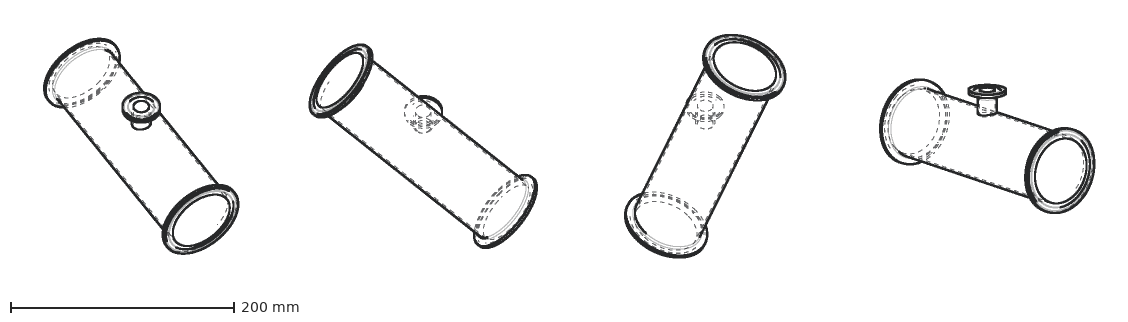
import cadquery as cq
import math

TUBE_LENGTH = 210.0
TUBE_OUTER_DIAMETER = 63.5
TUBE_BORE_DIAMETER = 59.5
MAIN_FLANGE_DIAMETER = 77.5
MAIN_GROOVE_DIAMETER = 70.5
MAIN_GROOVE_RADIUS = 1.3

BRANCH_TOP_HEIGHT = 52.5
BRANCH_OUTER_DIAMETER = 17.3
BRANCH_BORE_DIAMETER = 14.0
BRANCH_FLANGE_DIAMETER = 34.0
BRANCH_GROOVE_DIAMETER = 27.5
BRANCH_GROOVE_RADIUS = 1.6

RIM_THICKNESS = 2.85
BACK_ANGLE = math.radians(20.0)
NECK_FILLET_RADIUS = 2.0
GROOVE_DEPTH = 1.5
GROOVE_EDGE_RADIUS = 0.8


def flange_blank(pipe_diameter, flange_diameter, face_height):
    """Solid clamp flange about Z, from the start of its neck fillet up to z = face_height."""
    pipe_radius = pipe_diameter / 2
    flange_radius = flange_diameter / 2
    rim_back = face_height - RIM_THICKNESS
    cone_end = rim_back - (flange_radius - pipe_radius) * math.tan(BACK_ANGLE)

    middle_angle = (math.pi / 2 - BACK_ANGLE) / 2
    tangent_length = NECK_FILLET_RADIUS * math.tan(middle_angle)
    fillet_centre_radius = pipe_radius + NECK_FILLET_RADIUS
    fillet_start = cone_end - tangent_length
    fillet_end = (
        pipe_radius + tangent_length * math.cos(BACK_ANGLE),
        cone_end + tangent_length * math.sin(BACK_ANGLE),
    )
    fillet_middle = (
        fillet_centre_radius - NECK_FILLET_RADIUS * math.cos(middle_angle),
        fillet_start + NECK_FILLET_RADIUS * math.sin(middle_angle),
    )

    return (
        cq.Workplane("XZ")
        .moveTo(0, fillet_start)
        .lineTo(pipe_radius, fillet_start)
        .threePointArc(fillet_middle, fillet_end)
        .lineTo(flange_radius, rim_back)
        .lineTo(flange_radius, face_height)
        .lineTo(0, face_height)
        .close()
        .revolve(360, (0, 0, 0), (0, 1, 0))
    )


def gasket_groove(groove_diameter, groove_radius, face_height):
    """Ring cutter for a round-bottomed groove with rounded edges in the face z = face_height."""
    centre = groove_diameter / 2
    bottom = face_height - GROOVE_DEPTH
    bottom_arc_centre = bottom + groove_radius
    edge_arc_centre = face_height - GROOVE_EDGE_RADIUS

    centre_distance = groove_radius + GROOVE_EDGE_RADIUS
    centre_rise = edge_arc_centre - bottom_arc_centre
    half_width = math.sqrt(centre_distance**2 - centre_rise**2)
    touch_ratio = groove_radius / centre_distance
    touch_offset = half_width * touch_ratio
    touch_height = bottom_arc_centre + centre_rise * touch_ratio

    touch_angle = math.atan2(centre_rise, half_width)
    middle_angle = (math.pi / 2 + math.pi + touch_angle) / 2
    middle_offset = half_width + GROOVE_EDGE_RADIUS * math.cos(middle_angle)
    middle_height = edge_arc_centre + GROOVE_EDGE_RADIUS * math.sin(middle_angle)

    return (
        cq.Workplane("XZ")
        .moveTo(centre - half_width, face_height)
        .threePointArc((centre - middle_offset, middle_height), (centre - touch_offset, touch_height))
        .threePointArc((centre, bottom), (centre + touch_offset, touch_height))
        .threePointArc((centre + middle_offset, middle_height), (centre + half_width, face_height))
        .close()
        .revolve(360, (0, 0, 0), (0, 1, 0))
    )


def clamp_flange(pipe_diameter, flange_diameter, groove_diameter, groove_radius, face_height):
    """Clamp flange about Z, with its face and gasket groove at z = face_height."""
    blank = flange_blank(pipe_diameter, flange_diameter, face_height)
    return blank.cut(gasket_groove(groove_diameter, groove_radius, face_height))


def main_tube():
    """Main tube along X, flanged at both ends, without its bore."""
    flange_face = TUBE_LENGTH / 2
    flange = clamp_flange(
        TUBE_OUTER_DIAMETER, MAIN_FLANGE_DIAMETER, MAIN_GROOVE_DIAMETER, MAIN_GROOVE_RADIUS, flange_face
    )
    plain_half_length = flange_face - RIM_THICKNESS
    body = cq.Workplane("YZ").circle(TUBE_OUTER_DIAMETER / 2).extrude(plain_half_length, both=True)
    for angle in (-90, 90):
        body = body.union(flange.rotate((0, 0, 0), (0, 1, 0), angle))
    return body


def branch():
    """Branch along Z from the tube axis, flanged at its top, without its bore."""
    flange = clamp_flange(
        BRANCH_OUTER_DIAMETER,
        BRANCH_FLANGE_DIAMETER,
        BRANCH_GROOVE_DIAMETER,
        BRANCH_GROOVE_RADIUS,
        BRANCH_TOP_HEIGHT,
    )
    plain_length = BRANCH_TOP_HEIGHT - RIM_THICKNESS
    pipe = cq.Workplane("XY").circle(BRANCH_OUTER_DIAMETER / 2).extrude(plain_length)
    return pipe.union(flange)


def tube_bore():
    """Cutter for the bore through the full length of the main tube."""
    return (
        cq.Workplane("YZ")
        .circle(TUBE_BORE_DIAMETER / 2)
        .extrude(TUBE_LENGTH / 2, both=True)
    )


def branch_bore():
    """Cutter for the bore from the tube axis up through the branch."""
    return cq.Workplane("XY").circle(BRANCH_BORE_DIAMETER / 2).extrude(BRANCH_TOP_HEIGHT)


result = main_tube().union(branch()).cut(tube_bore()).cut(branch_bore())